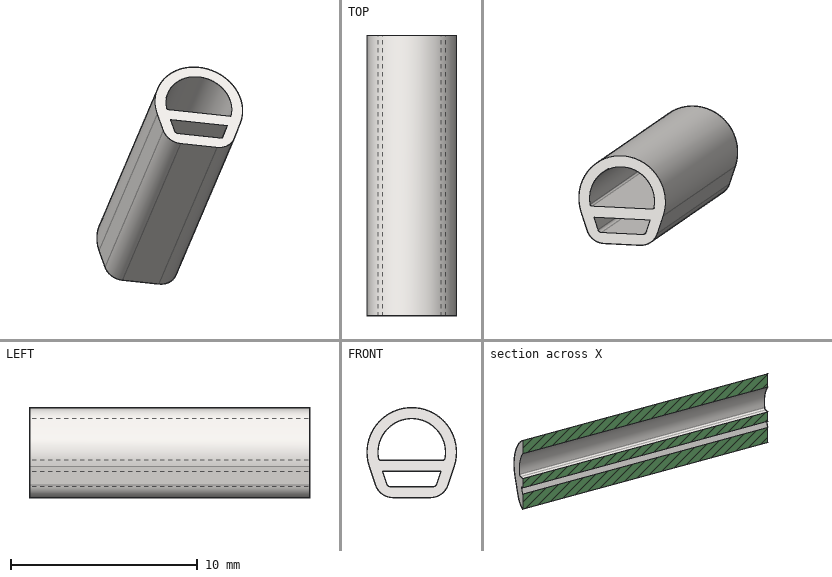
import cadquery as cq
import math

LENGTH = 15.0
OUTER_RADIUS = 2.4
WALL = 0.6
BASE_DEPTH = 2.43
SHELF_TOP_DEPTH = 0.42
TAPER_DEGREES = 18.5
BASE_CORNER_RADIUS = 1.0
UPPER_CORNER_RADIUS = 0.1
LOWER_CORNER_RADIUS = 0.2

INNER_RADIUS = OUTER_RADIUS - WALL
SHELF_BOTTOM_DEPTH = SHELF_TOP_DEPTH + WALL
FLOOR_DEPTH = BASE_DEPTH - WALL
TAPER = math.radians(TAPER_DEGREES)


def flank_x(radius, depth):
    """Half width at a depth, on the flank tangent to a circle about the axis."""
    return (radius - depth * math.sin(TAPER)) / math.cos(TAPER)


def extrude_along_y(sketch):
    """Extrude a closed XZ outline over the full length, centred on Y = 0."""
    return sketch.extrude(LENGTH / 2, both=True)


def outer_body():
    """Round top with tangent flanks tapering to a flat, round-cornered base."""
    tangent_x = OUTER_RADIUS * math.cos(TAPER)
    tangent_z = -OUTER_RADIUS * math.sin(TAPER)
    base_x = flank_x(OUTER_RADIUS, BASE_DEPTH)
    outline = (
        cq.Workplane("XZ")
        .moveTo(-tangent_x, tangent_z)
        .threePointArc((0, OUTER_RADIUS), (tangent_x, tangent_z))
        .lineTo(base_x, -BASE_DEPTH)
        .lineTo(-base_x, -BASE_DEPTH)
        .close()
    )
    base_corners = cq.selectors.BoxSelector(
        (-OUTER_RADIUS, -LENGTH, -BASE_DEPTH - WALL),
        (OUTER_RADIUS, LENGTH, -FLOOR_DEPTH),
    )
    body = extrude_along_y(outline)
    return body.edges("|Y").edges(base_corners).fillet(BASE_CORNER_RADIUS)


def upper_channel():
    """Circular channel cut off flat by the shelf."""
    shelf_x = math.sqrt(INNER_RADIUS**2 - SHELF_TOP_DEPTH**2)
    outline = (
        cq.Workplane("XZ")
        .moveTo(-shelf_x, -SHELF_TOP_DEPTH)
        .threePointArc((0, INNER_RADIUS), (shelf_x, -SHELF_TOP_DEPTH))
        .close()
    )
    return extrude_along_y(outline).edges("|Y").fillet(UPPER_CORNER_RADIUS)


def lower_channel():
    """Tapered channel under the shelf, its flanks one wall inside the outer ones."""
    top_x = flank_x(INNER_RADIUS, SHELF_BOTTOM_DEPTH)
    floor_x = flank_x(INNER_RADIUS, FLOOR_DEPTH)
    outline = cq.Workplane("XZ").polyline([
        (-top_x, -SHELF_BOTTOM_DEPTH),
        (top_x, -SHELF_BOTTOM_DEPTH),
        (floor_x, -FLOOR_DEPTH),
        (-floor_x, -FLOOR_DEPTH),
    ]).close()
    channel = extrude_along_y(outline)
    return channel.faces("<Z").edges("|Y").fillet(LOWER_CORNER_RADIUS)


result = outer_body().cut(upper_channel()).cut(lower_channel())